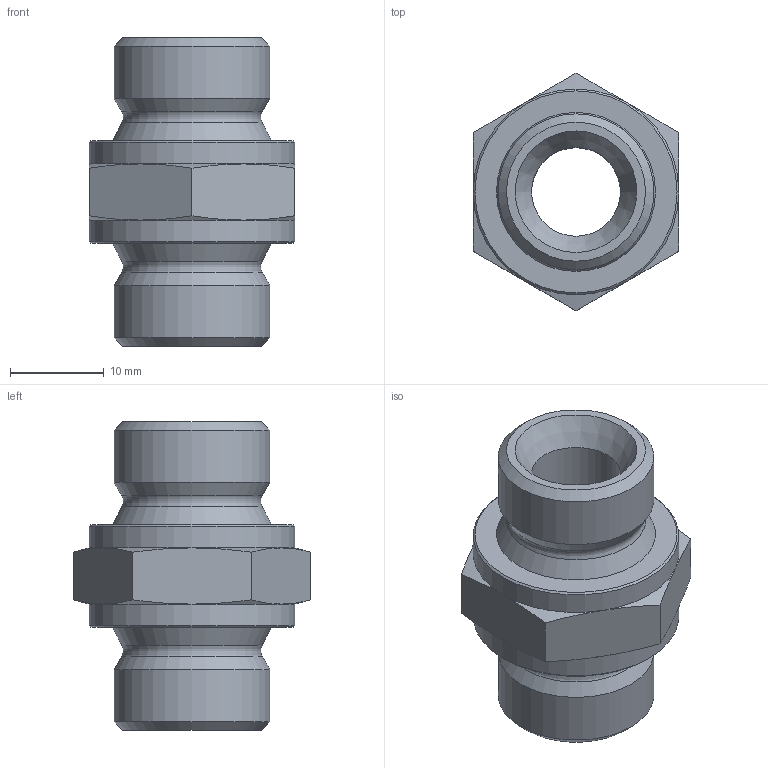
import math

import cadquery as cq

TOTAL_LENGTH = 33.0
BORE_DIAMETER = 9.5

HEX_ACROSS_FLATS = 22.0
HEX_HEIGHT = 6.0
HEX_HALF_SECTOR = 30.0
HEX_CHAMFER_ANGLE = 15.0

COLLAR_DIAMETER = HEX_ACROSS_FLATS
COLLAR_SPAN = 11.0
COLLAR_CHAMFER = 0.2

STUD_DIAMETER = 16.66
STUD_LENGTH = 6.5
END_CHAMFER = 0.9

NECK_DIAMETER = 14.7
NECK_ROUND_RADIUS = 1.2
NECK_BASE_DIAMETER = 17.0
RELIEF_ANGLE = 30.0

SEAT_DIAMETER = 13.0
SEAT_HALF_ANGLE = 30.0

END_Z = TOTAL_LENGTH / 2
STUD_START_Z = END_Z - STUD_LENGTH
COLLAR_Z = COLLAR_SPAN / 2
HEX_Z = HEX_HEIGHT / 2


def make_end():
    """Revolve the collar, rounded neck and stud that stand above the hexagon."""
    collar_radius = COLLAR_DIAMETER / 2
    stud_radius = STUD_DIAMETER / 2
    base_radius = NECK_BASE_DIAMETER / 2
    neck_radius = NECK_DIAMETER / 2
    relief = math.radians(RELIEF_ANGLE)

    round_center_r = neck_radius + NECK_ROUND_RADIUS
    upper_r = round_center_r - NECK_ROUND_RADIUS * math.cos(relief)
    upper_z = STUD_START_Z - (stud_radius - upper_r) / math.tan(relief)
    round_center_z = upper_z - NECK_ROUND_RADIUS * math.sin(relief)

    center_dr = round_center_r - base_radius
    center_dz = round_center_z - COLLAR_Z
    center_distance = math.hypot(center_dr, center_dz)
    lower_taper = math.asin(NECK_ROUND_RADIUS / center_distance) - math.atan2(center_dr, center_dz)
    lower_r = round_center_r - NECK_ROUND_RADIUS * math.cos(lower_taper)
    lower_z = round_center_z - NECK_ROUND_RADIUS * math.sin(lower_taper)

    return (
        cq.Workplane("XZ")
        .moveTo(0, HEX_Z)
        .lineTo(collar_radius, HEX_Z)
        .lineTo(collar_radius, COLLAR_Z - COLLAR_CHAMFER)
        .lineTo(collar_radius - COLLAR_CHAMFER, COLLAR_Z)
        .lineTo(base_radius, COLLAR_Z)
        .lineTo(lower_r, lower_z)
        .threePointArc((neck_radius, round_center_z), (upper_r, upper_z))
        .lineTo(stud_radius, STUD_START_Z)
        .lineTo(stud_radius, END_Z - END_CHAMFER)
        .lineTo(stud_radius - END_CHAMFER, END_Z)
        .lineTo(0, END_Z)
        .close()
        .revolve(360, (0, 0, 0), (0, 1, 0))
    )


def make_hexagon():
    """Hexagon with two corners on the Y axis, its corners chamfered by a cone on both faces."""
    corner_radius = HEX_ACROSS_FLATS / 2 / math.cos(math.radians(HEX_HALF_SECTOR))
    prism = (
        cq.Workplane("XY")
        .workplane(offset=-HEX_Z)
        .polygon(6, 2 * corner_radius)
        .extrude(HEX_HEIGHT)
        .rotate((0, 0, 0), (0, 0, 1), HEX_HALF_SECTOR)
    )
    flat_radius = HEX_ACROSS_FLATS / 2
    apex_radius = flat_radius + HEX_Z / math.tan(math.radians(HEX_CHAMFER_ANGLE))
    double_cone = (
        cq.Workplane("XZ")
        .moveTo(0, -HEX_Z)
        .lineTo(flat_radius, -HEX_Z)
        .lineTo(apex_radius, 0)
        .lineTo(flat_radius, HEX_Z)
        .lineTo(0, HEX_Z)
        .close()
        .revolve(360, (0, 0, 0), (0, 1, 0))
    )
    return prism.intersect(double_cone)


def make_passage():
    """Through bore opening into a conical seat at each end."""
    bore_radius = BORE_DIAMETER / 2
    seat_radius = SEAT_DIAMETER / 2
    seat_depth = (seat_radius - bore_radius) / math.tan(math.radians(SEAT_HALF_ANGLE))
    seat_bottom_z = END_Z - seat_depth
    return (
        cq.Workplane("XZ")
        .moveTo(0, -END_Z)
        .lineTo(seat_radius, -END_Z)
        .lineTo(bore_radius, -seat_bottom_z)
        .lineTo(bore_radius, seat_bottom_z)
        .lineTo(seat_radius, END_Z)
        .lineTo(0, END_Z)
        .close()
        .revolve(360, (0, 0, 0), (0, 1, 0))
    )


upper_end = make_end()
lower_end = upper_end.mirror("XY")
result = make_hexagon().union(upper_end).union(lower_end).cut(make_passage())